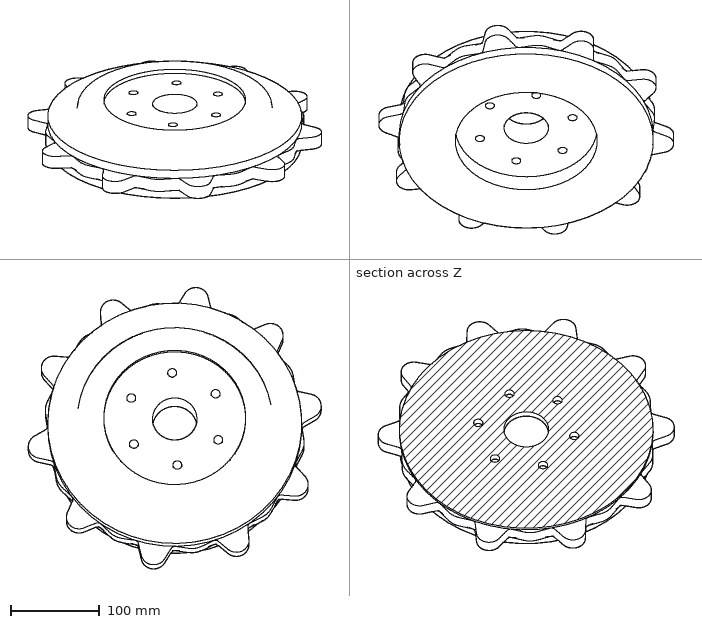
import cadquery as cq
import math

flange_diameter = 286.67
flange_thickness = 10
plate_thickness = 15
plate_bottom = flange_thickness
flange_top = 2 * flange_thickness + plate_thickness

hub_top_radius = 100
hub_arc_radius = 10
hub_top = flange_top + 2 * hub_arc_radius
recess_diameter = 160
top_recess_depth = 5
bottom_recess_depth = 20

bore_diameter = 50
bolt_diameter = 10
bolt_circle_radius = 55
bolt_count = 6

tooth_count = 10
root_apothem = 141.5
corner_radius = 25
tip_circle_diameter = 334.31
tooth_tip_distance = tip_circle_diameter / 2
tooth_tip_radius = 14.3
flank_angle = math.radians(22)
root_fillet_radius = 5


def on_arc(center, radius, angle):
    """Point on a circle at an angle from +X."""
    return (
        center[0] + radius * math.cos(angle),
        center[1] + radius * math.sin(angle),
    )


def mirrored(point):
    """Point reflected across the tooth axis."""
    return (-point[0], point[1])


def make_hub():
    """Flanges and hub as one solid revolved body."""
    flange_radius = flange_diameter / 2
    waist = (hub_top_radius + hub_arc_radius, flange_top + hub_arc_radius)
    foot = (hub_top_radius + 2 * hub_arc_radius, flange_top)
    concave_center = (foot[0], waist[1])
    convex_center = (hub_top_radius, waist[1])
    concave_mid = on_arc(concave_center, hub_arc_radius, math.radians(225))
    convex_mid = on_arc(convex_center, hub_arc_radius, math.radians(45))
    profile = (
        cq.Workplane("XZ")
        .lineTo(flange_radius, 0)
        .lineTo(flange_radius, flange_top)
        .lineTo(*foot)
        .threePointArc(concave_mid, waist)
        .threePointArc(convex_mid, (hub_top_radius, hub_top))
        .lineTo(0, hub_top)
        .close()
    )
    return profile.revolve(360, (0, 0), (0, 1))


def make_recesses():
    """Shallow recess in the hub top and a deeper one in the bottom face."""
    top_recess = (
        cq.Workplane("XY", origin=(0, 0, hub_top - top_recess_depth))
        .circle(recess_diameter / 2)
        .extrude(top_recess_depth)
    )
    bottom_recess = cq.Workplane("XY").circle(recess_diameter / 2).extrude(bottom_recess_depth)
    return top_recess.union(bottom_recess)


def make_tooth():
    """One tooth along +Y: round tip, straight flanks and root fillets."""
    tip_center = (0, tooth_tip_distance - tooth_tip_radius)
    tip_end = on_arc(tip_center, tooth_tip_radius, flank_angle)

    fillet_center_y = root_apothem + root_fillet_radius
    center_drop = tip_center[1] - fillet_center_y
    center_gap = tooth_tip_radius + root_fillet_radius
    fillet_center_x = center_gap / math.cos(flank_angle) + center_drop * math.tan(flank_angle)
    fillet_center = (fillet_center_x, fillet_center_y)
    flank_end = on_arc(fillet_center, root_fillet_radius, math.pi + flank_angle)
    fillet_mid_angle = (math.pi + flank_angle + 1.5 * math.pi) / 2
    fillet_mid = on_arc(fillet_center, root_fillet_radius, fillet_mid_angle)
    root_end = (fillet_center_x, root_apothem)

    return (
        cq.Workplane("XY", origin=(0, 0, plate_bottom))
        .moveTo(0, 0)
        .lineTo(*root_end)
        .threePointArc(fillet_mid, flank_end)
        .lineTo(*tip_end)
        .threePointArc((0, tooth_tip_distance), mirrored(tip_end))
        .lineTo(*mirrored(flank_end))
        .threePointArc(mirrored(fillet_mid), mirrored(root_end))
        .close()
        .extrude(plate_thickness)
    )


def make_toothed_plate():
    """Rounded decagon carrying the ring of teeth."""
    corner_distance = root_apothem / math.cos(math.pi / tooth_count)
    plate = (
        cq.Workplane("XY", origin=(0, 0, plate_bottom))
        .polygon(tooth_count, 2 * corner_distance)
        .extrude(plate_thickness)
        .edges("|Z")
        .fillet(corner_radius)
    )
    tooth = make_tooth()
    for index in range(tooth_count):
        turn = index * 360 / tooth_count
        plate = plate.union(tooth.rotate((0, 0, 0), (0, 0, 1), turn))
    return plate


def make_holes():
    """Central bore and the bolt circle, through the full height."""
    bore = cq.Workplane("XY").circle(bore_diameter / 2).extrude(hub_top)
    bolts = (
        cq.Workplane("XY")
        .polarArray(bolt_circle_radius, 90, 360, bolt_count)
        .circle(bolt_diameter / 2)
        .extrude(hub_top)
    )
    return bore.union(bolts)


wheel = make_hub().union(make_toothed_plate())
result = wheel.cut(make_recesses()).cut(make_holes())